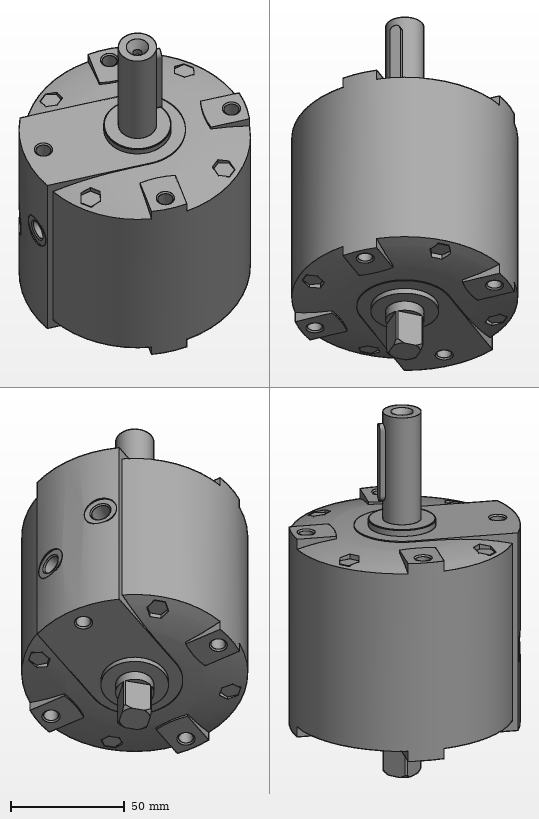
import cadquery as cq
import math


body_radius = 50.0
half_height = 46.5
rim_drop = 4.8

boss_radius = 52.4
boss_half_width = 21.2
crown_radius = boss_half_width
crown_step = 0.5

lug_width = 16.3
lug_inner_radius = 30.6
lug_end_bow = 0.8
bolt_circle_radius = 43.4
mount_hole_diameter = 6.6
mount_chamfer_diameter = 8.0

hex_across_flats = 8.5
hex_floor_drop = 4.5

collar_diameter = 30.0
top_collar_height = 3.0
bottom_collar_height = 2.5
collar_chamfer = 0.3

port_angle = 14.5
port_offset_z = 9.5
port_diameter = 8.5
port_mouth_diameter = 9.7
port_depth = 34.8
spotface_diameter = 15.0
spotface_depth = 0.7

shaft_diameter = 17.0
shaft_top = 100.0
shaft_bottom = -70.0
square_across_flats = 12.8
square_length = 16.2
shaft_end_chamfer = 1.5
center_mouth_diameter = 9.9
center_hole_diameter = 4.0
center_hole_depth = 6.8
center_cone_angle = 75.0
drill_point_angle = 120.0

key_width = 5.1
key_length = 36.0
key_rise = 2.0
key_end_gap = 5.1

cut_margin = 1.7

DIAGONAL_ANGLE = 45
QUARTER_ANGLES = (0, 90, 180, 270)
LUG_ANGLES = (0, 90, 180)


def cylinder(diameter, bottom, top):
    return cq.Workplane("XY").workplane(offset=bottom).circle(diameter / 2).extrude(top - bottom)


def cone(bottom_diameter, top_diameter, bottom, height):
    solid = cq.Solid.makeCone(bottom_diameter / 2, top_diameter / 2, height, cq.Vector(0, 0, bottom))
    return cq.Workplane(solid)


def on_bolt_circle(tool, angle):
    """Move a tool from the axis to the bolt circle, turned to the given angle."""
    return tool.translate((bolt_circle_radius, 0, 0)).rotate((0, 0, 0), (0, 0, 1), angle)


def dome_waste():
    """Ring above the top dome: the dome is flat at the crown and falls in an arc to the rim."""
    crown = half_height - crown_step
    rim = half_height - rim_drop
    run = body_radius - crown_radius
    drop = crown - rim
    dome_radius = (run**2 + drop**2) / (2 * drop)
    mid_angle = math.asin(run / dome_radius) / 2
    mid_r = crown_radius + dome_radius * math.sin(mid_angle)
    mid_z = crown - dome_radius * (1 - math.cos(mid_angle))
    outside = boss_radius + cut_margin
    return (
        cq.Workplane("XZ")
        .moveTo(crown_radius, half_height)
        .lineTo(crown_radius, crown)
        .threePointArc((mid_r, mid_z), (body_radius, rim))
        .lineTo(outside, rim)
        .lineTo(outside, half_height)
        .close()
        .revolve(360, (0, 0, 0), (0, 1, 0))
    )


def lug_block(angle):
    """Block that keeps a lug standing; its inner end bows toward the shaft."""
    half_width = lug_width / 2
    corner = lug_inner_radius + lug_end_bow
    outside = boss_radius + cut_margin
    return (
        cq.Workplane("XY")
        .moveTo(outside, -half_width)
        .lineTo(corner, -half_width)
        .threePointArc((lug_inner_radius, 0), (corner, half_width))
        .lineTo(outside, half_width)
        .close()
        .extrude(half_height)
        .rotate((0, 0, 0), (0, 0, 1), angle)
    )


def port_boss():
    """Full-height boss from the shaft axis to a larger cylinder at -Y."""
    straight = cq.Workplane("XY").box(
        2 * boss_half_width, boss_radius, 2 * half_height
    ).translate((0, -boss_radius / 2, 0))
    return straight.intersect(cylinder(2 * boss_radius, -half_height, half_height))


def housing_blank():
    """Cylinder and boss with both ends domed around the boss and the lugs."""
    boss = port_boss()
    waste = dome_waste().cut(boss)
    for angle in LUG_ANGLES:
        waste = waste.cut(lug_block(angle))
    blank = cylinder(2 * body_radius, -half_height, half_height).union(boss)
    return blank.cut(waste).cut(waste.mirror("XY"))


def collars():
    top = cylinder(collar_diameter, 0, half_height + top_collar_height)
    top = top.faces(">Z").chamfer(collar_chamfer)
    bottom = cylinder(collar_diameter, -half_height - bottom_collar_height, 0)
    return top.union(bottom)


def mount_hole(angle):
    """Through hole chamfered at both ends."""
    depth = (mount_chamfer_diameter - mount_hole_diameter) / 2
    hole = cylinder(mount_hole_diameter, -half_height, half_height)
    hole = hole.union(cone(mount_hole_diameter, mount_chamfer_diameter, half_height - depth, depth))
    hole = hole.union(cone(mount_chamfer_diameter, mount_hole_diameter, -half_height, depth))
    return on_bolt_circle(hole, angle)


def hex_recess(angle, end):
    """Flat-floored recess with corners along the rim; end is +1 for the top, -1 for the bottom."""
    corner_diameter = hex_across_flats / math.cos(math.pi / 6)
    floor = half_height - hex_floor_drop
    tool = cq.Workplane("XY").polygon(6, corner_diameter).extrude(hex_floor_drop)
    tool = tool.rotate((0, 0, 0), (0, 0, 1), 90).translate((0, 0, floor))
    if end < 0:
        tool = tool.mirror("XY")
    return on_bolt_circle(tool, angle)


def port(side):
    """Radial port with a flat spotface and a chamfered mouth; side is +1 for the +X port."""
    angle = math.radians(port_angle)
    inward = cq.Vector(-side * math.sin(angle), math.cos(angle), 0)
    height = cq.Vector(0, 0, side * port_offset_z)

    def tool(start_diameter, end_diameter, start_radius, length):
        start = height - inward * start_radius
        if start_diameter == end_diameter:
            solid = cq.Solid.makeCylinder(start_diameter / 2, length, start, inward)
        else:
            solid = cq.Solid.makeCone(start_diameter / 2, end_diameter / 2, length, start, inward)
        return cq.Workplane(solid)

    spotface_radius = boss_radius - spotface_depth
    chamfer = (port_mouth_diameter - port_diameter) / 2
    spotface_length = spotface_depth + cut_margin
    spotface = tool(spotface_diameter, spotface_diameter, boss_radius + cut_margin, spotface_length)
    mouth = tool(port_mouth_diameter, port_diameter, spotface_radius, chamfer)
    hole = tool(port_diameter, port_diameter, spotface_radius, port_depth)
    return spotface.union(mouth).union(hole)


def make_housing():
    housing = housing_blank().union(collars())
    for angle in QUARTER_ANGLES:
        housing = housing.cut(mount_hole(angle))
        for end in (1, -1):
            housing = housing.cut(hex_recess(angle + DIAGONAL_ANGLE, end))
    for side in (1, -1):
        housing = housing.cut(port(side))
    return housing.cut(cylinder(shaft_diameter, shaft_bottom, shaft_top))


def square_end_waste():
    """Material around the square drive end, whose corners point along X and Y."""
    blank = cylinder(2 * shaft_diameter, shaft_bottom, shaft_bottom + square_length)
    square = (
        cq.Workplane("XY")
        .workplane(offset=shaft_bottom)
        .rect(square_across_flats, square_across_flats)
        .extrude(square_length)
        .rotate((0, 0, 0), (0, 0, 1), DIAGONAL_ANGLE)
    )
    return blank.cut(square)


def cone_height(large_diameter, small_diameter, full_angle):
    return (large_diameter - small_diameter) / 2 / math.tan(math.radians(full_angle / 2))


def center_hole():
    """Countersunk center hole with a drill point, in the upper end of the shaft."""
    mouth = cone_height(center_mouth_diameter, center_hole_diameter, center_cone_angle)
    point = cone_height(center_hole_diameter, 0, drill_point_angle)
    bottom = shaft_top - center_hole_depth
    countersink = cone(center_hole_diameter, center_mouth_diameter, shaft_top - mouth, mouth)
    drill_point = cone(0, center_hole_diameter, bottom - point, point)
    return countersink.union(cylinder(center_hole_diameter, bottom, shaft_top)).union(drill_point)


def key():
    """Round-ended key on the +Y side of the shaft."""
    middle_z = shaft_top - key_end_gap - key_length / 2
    return (
        cq.Workplane("XZ")
        .center(0, middle_z)
        .slot2D(key_length, key_width, 90)
        .extrude(-(shaft_diameter / 2 + key_rise))
    )


def make_shaft():
    shaft = cylinder(shaft_diameter, shaft_bottom, shaft_top)
    shaft = shaft.faces("<Z").chamfer(shaft_end_chamfer)
    shaft = shaft.cut(square_end_waste())
    return shaft.union(key()).cut(center_hole())


housing = make_housing()
shaft = make_shaft()
result = cq.Compound.makeCompound([housing.solids().val(), shaft.solids().val()])